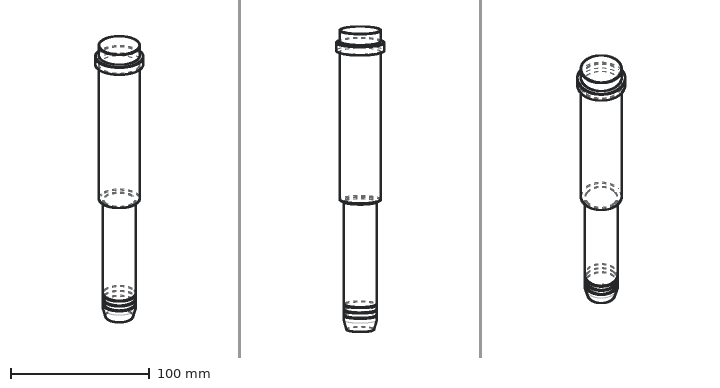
import cadquery as cq

total_length = 220.0
flange_diameter = 35.0
body_diameter = 30.0
pin_diameter = 24.0

head_length = 9.0
flange_thickness = 6.2
body_bottom = 95.0

flange_chamfer = 0.5
head_chamfer = 0.5
body_chamfer = 0.7
tip_chamfer = 0.5

relief_radius = 0.5

neck_width = 1.0
neck_depth = 0.7

groove_count = 3
groove_pitch = 4.0
groove_radius = 0.5
lowest_groove_height = 10.5

nose_length = 7.0
nose_end_diameter = 20.5

flange_top = total_length - head_length
flange_bottom = flange_top - flange_thickness


def cylinder(diameter, bottom, top):
    """Solid cylinder on the Z axis between two heights."""
    return cq.Workplane("XY").workplane(offset=bottom).circle(diameter / 2).extrude(top - bottom)


def half_round_groove(shaft_diameter, radius, height):
    """Torus centred on the shaft surface, to be cut from the shaft."""
    return (
        cq.Workplane("XZ")
        .center(shaft_diameter / 2, height)
        .circle(radius)
        .revolve(360, (-shaft_diameter / 2, 0, 0), (-shaft_diameter / 2, 1, 0))
    )


def nose():
    """Conical tip with a small chamfer at the end."""
    end_radius = nose_end_diameter / 2
    return (
        cq.Workplane("XZ")
        .lineTo(end_radius - tip_chamfer, 0)
        .lineTo(end_radius, tip_chamfer)
        .lineTo(pin_diameter / 2, nose_length)
        .lineTo(0, nose_length)
        .close()
        .revolve(360, (0, 0, 0), (0, 1, 0))
    )


def pin():
    """Slim lower shaft with its nose, ring grooves and the neck under the body."""
    neck_bottom = body_bottom - neck_width
    shaft = cylinder(pin_diameter, nose_length, neck_bottom)
    neck = cylinder(pin_diameter - 2 * neck_depth, neck_bottom, body_bottom)
    shape = shaft.union(neck).union(nose())
    for index in range(groove_count):
        groove_height = lowest_groove_height + index * groove_pitch
        shape = shape.cut(half_round_groove(pin_diameter, groove_radius, groove_height))
    return shape


def body():
    """Thick upper shaft with chamfered ends and a relief on each side of the flange."""
    shape = cylinder(body_diameter, body_bottom, total_length)
    shape = shape.faces("<Z").chamfer(body_chamfer)
    shape = shape.faces(">Z").chamfer(head_chamfer)
    for relief_height in (flange_top + relief_radius, flange_bottom - relief_radius):
        shape = shape.cut(half_round_groove(body_diameter, relief_radius, relief_height))
    return shape


def flange():
    """Collar around the body, chamfered on its upper edge."""
    return cylinder(flange_diameter, flange_bottom, flange_top).faces(">Z").chamfer(flange_chamfer)


result = pin().union(body()).union(flange())